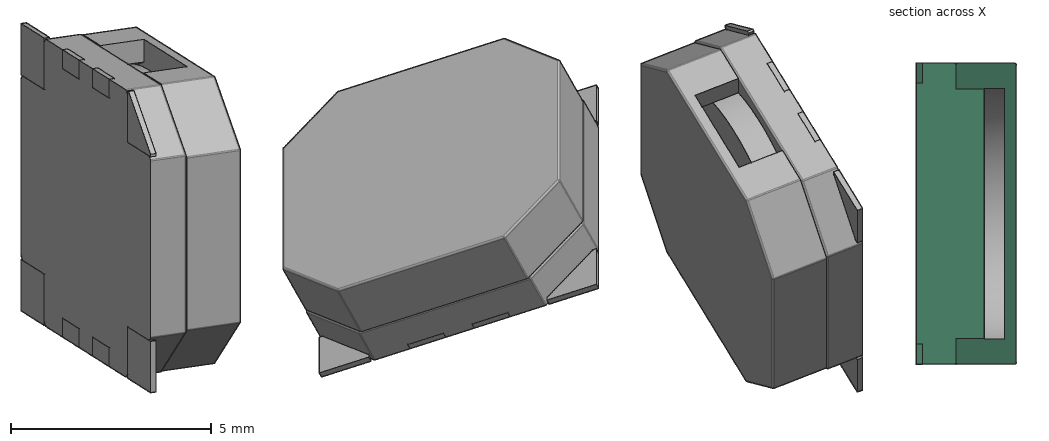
import cadquery as cq

SIDE = 7.5
THICKNESS = 2.5
HALF = SIDE / 2

BASE_THICKNESS = 1.0
BASE_CORNER = 1.43
SPIGOT_RADIUS = 3.4
SPIGOT_TOP = 1.7

COVER_CORNER = 1.49
CAVITY_END = 2.2
WINDOW_WIDTH = 2.5

EDGE_RADIUS = 0.05

PAD_THICKNESS = 0.15
CORNER_PAD_SIZE = 1.34
MARKED_PAD_CUT = 1.275
EDGE_PAD_WIDTH = 0.97
EDGE_PAD_HEIGHT = 0.495
EDGE_PAD_OFFSET = 0.87


def at_depth(y):
    """Workplane in X and Z at the given Y; extrusions from it run toward +Y."""
    return cq.Workplane(cq.Plane(origin=(0, y, 0), xDir=(-1, 0, 0), normal=(0, 1, 0)))


def pad_block(center_x, center_z, width, height):
    """Flat rectangular pad whose outer face lies in the mounting face."""
    return cq.Workplane("XY").box(width, PAD_THICKNESS, height).translate(
        (center_x, PAD_THICKNESS / 2, center_z)
    )


def octagonal_plate(y_start, y_end, corner):
    """Square plate with bevelled corners, rounded along its upright edges and its +Y rim."""
    plate = at_depth(y_start).rect(SIDE, SIDE).extrude(y_end - y_start)
    plate = plate.edges("|Y").chamfer(corner)
    return plate.edges("|Y or >Y").fillet(EDGE_RADIUS)


def make_corner_pads():
    """Four square pads; the one at +X +Z has its outer corner cut off as an orientation mark."""
    center = HALF - CORNER_PAD_SIZE / 2
    pads = []
    for x_sign in (-1, 1):
        for z_sign in (-1, 1):
            pad = pad_block(x_sign * center, z_sign * center, CORNER_PAD_SIZE, CORNER_PAD_SIZE)
            if x_sign > 0 and z_sign > 0:
                pad = pad.edges("|Y and >X and >Z").chamfer(MARKED_PAD_CUT)
            pads.append(pad)
    return pads


def make_edge_pads():
    """Two small pads along each of the +Z and -Z sides."""
    center_z = HALF - EDGE_PAD_HEIGHT / 2
    return [
        pad_block(x_sign * EDGE_PAD_OFFSET, z_sign * center_z, EDGE_PAD_WIDTH, EDGE_PAD_HEIGHT)
        for x_sign in (-1, 1)
        for z_sign in (-1, 1)
    ]


def make_base(pads):
    """Octagonal plate with its spigot, recessed to receive the pads."""
    plate = octagonal_plate(0, BASE_THICKNESS, BASE_CORNER)
    spigot = at_depth(BASE_THICKNESS).circle(SPIGOT_RADIUS).extrude(SPIGOT_TOP - BASE_THICKNESS)
    base = plate.union(spigot)
    for pad in pads:
        base = base.cut(pad)
    return base


def make_cover():
    """Octagonal cap with the cavity that fits the spigot and the window that opens into it."""
    cap = octagonal_plate(BASE_THICKNESS, THICKNESS, COVER_CORNER)
    depth = CAVITY_END - BASE_THICKNESS
    cavity = at_depth(BASE_THICKNESS).circle(SPIGOT_RADIUS).extrude(depth)
    window = cq.Workplane("XY").box(WINDOW_WIDTH, depth, HALF, centered=(True, False, False))
    window = window.translate((0, BASE_THICKNESS, 0))
    return cap.cut(cavity).cut(window)


corner_pads = make_corner_pads()
edge_pads = make_edge_pads()
base = make_base(corner_pads + edge_pads)
cover = make_cover()

result = cq.Compound.makeCompound(
    [base.val(), cover.val(), *[pad.val() for pad in corner_pads + edge_pads]]
)